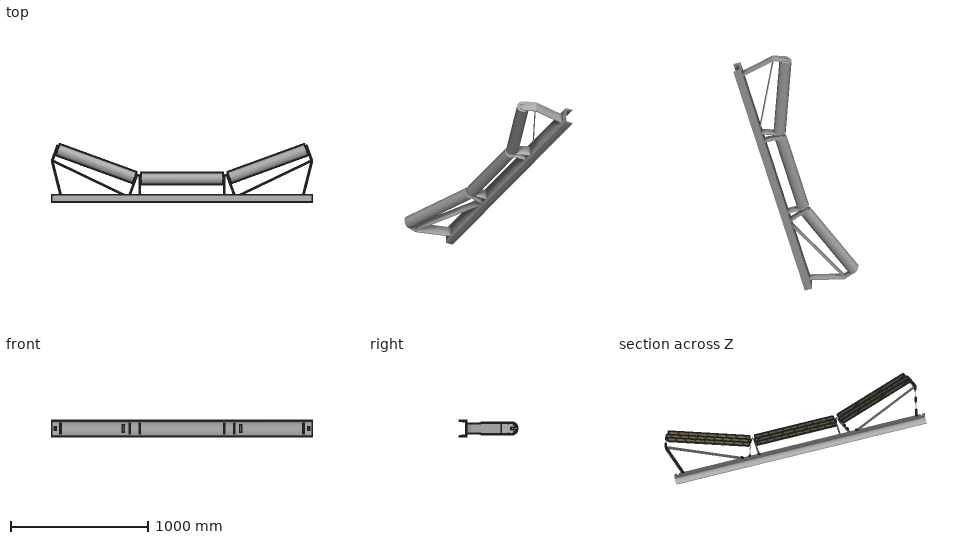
import cadquery as cq
import math

channel_length = 1900.0
channel_height = 120.0
flange_width = 55.0
web_thickness = 7.0
flange_root_thickness = 11.0
flange_tip_thickness = 6.7
flange_root_radius = 8.0
flange_tip_radius = 5.0
mount_slot_x = 925.0
mount_slot_width = 17.0
mount_slot_height = 29.0

roller_diameter = 90.0
roller_length = 599.0
trough_angle = 20
centre_roller_y = 118.0
wing_roller_x = 625.0
wing_roller_y = 226.0

shaft_diameter = 23.0
shaft_flat_width = 17.0

overall_length = 1901
inner_plate_thickness = 6.7
outer_plate_thickness = 8.5
bridge_thickness = 5.0
plate_width = 75.0
plate_gap = 4.8
centre_plate_rise = 25.0
wing_plate_rise = 27.0
plate_chamfer = 20.0
bridge_width = plate_width - 2 * plate_chamfer
leg_angle = 14.1
knee_outer_radius = 15.0

brace_thickness = 5.0
brace_width = 57.0
brace_foot_x = 428.0
brace_rise_above_knee = 4.0

plate_inner_face = roller_length / 2 + plate_gap
inner_plate_outer_face = plate_inner_face + inner_plate_thickness
outer_plate_outer_face = plate_inner_face + outer_plate_thickness
shaft_length = 2 * inner_plate_outer_face
tilt_cos = math.cos(math.radians(trough_angle))
tilt_sin = math.sin(math.radians(trough_angle))


def wing_point(along, up):
    """Point on the right wing: distance outward along the roller axis, then up square to it."""
    x = wing_roller_x + along * tilt_cos - up * tilt_sin
    y = wing_roller_y + along * tilt_sin + up * tilt_cos
    return x, y


def wing_height_to_y(along, y):
    """Signed height above the roller axis, square to it, at which the wing point reaches height y."""
    return (y - wing_point(along, 0)[1]) / tilt_cos


def wing_height_to_x(along, x):
    """Signed height above the roller axis, square to it, at which the wing point reaches x."""
    return (wing_point(along, 0)[0] - x) / tilt_sin


def place_level(body):
    """Move a body drawn around its roller's middle to the centre roller."""
    return body.translate((0, centre_roller_y, 0))


def place_wing(body):
    """Move a body drawn around its roller's middle to the right wing roller."""
    return body.rotate((0, 0, 0), (0, 0, 1), trough_angle).translate((wing_roller_x, wing_roller_y, 0))


def mirrored(body):
    """The same body on the -X side."""
    return body.mirror("YZ")


def extrude_in_z(points, width):
    """Prism of a plan outline, centred on Z = 0."""
    return cq.Workplane("XY").polyline(points).close().extrude(width / 2, both=True)


def make_shaft():
    """Round shaft along X whose two ends carry flats facing +Z and -Z."""
    shaft = cq.Workplane("YZ").circle(shaft_diameter / 2).extrude(shaft_length / 2, both=True)
    end_length = (shaft_length - roller_length) / 2
    flat_depth = (shaft_diameter - shaft_flat_width) / 2
    for end in (-1, 1):
        for face in (-1, 1):
            flat = cq.Workplane("XY").box(end_length, shaft_diameter, flat_depth).translate((
                end * (shaft_length - end_length) / 2,
                0,
                face * (shaft_flat_width + flat_depth) / 2,
            ))
            shaft = shaft.cut(flat)
    return shaft


def make_roller():
    """Cylinder along X, bored for its shaft."""
    end_plane = cq.Plane(origin=(0, 0, 0), xDir=(0, 0, 1), normal=(1, 0, 0))
    profile = cq.Workplane(end_plane).circle(roller_diameter / 2).circle(shaft_diameter / 2)
    return profile.extrude(roller_length).translate((-roller_length / 2, 0, 0))


def make_channel():
    """Channel with tapered flanges, and a mounting slot near each end of the web."""
    half_height = channel_height / 2
    outline = [
        (0, -half_height),
        (-flange_width, -half_height),
        (-flange_width, -half_height + flange_tip_thickness),
        (-web_thickness, -half_height + flange_root_thickness),
        (-web_thickness, half_height - flange_root_thickness),
        (-flange_width, half_height - flange_tip_thickness),
        (-flange_width, half_height),
        (0, half_height),
    ]
    channel = cq.Workplane("YZ").polyline(outline).close().extrude(channel_length / 2, both=True)
    flange_inner_z = half_height - flange_root_thickness
    flange_edge_z = half_height - flange_tip_thickness
    for z_side in (-1, 1):
        root = (0, -web_thickness, z_side * flange_inner_z)
        tip = (0, -flange_width, z_side * flange_edge_z)
        channel = channel.edges(cq.NearestToPointSelector(root)).fillet(flange_root_radius)
        channel = channel.edges(cq.NearestToPointSelector(tip)).fillet(flange_tip_radius)
    slots = (
        cq.Workplane("XZ")
        .pushPoints([(-mount_slot_x, 0), (mount_slot_x, 0)])
        .slot2D(mount_slot_height, mount_slot_width, 90)
        .extrude(web_thickness)
    )
    return channel.cut(slots)


def chamfer_top(plate, plate_top):
    """Chamfer the two short edges that run through the plate at its top corners."""
    for z_side in (-1, 1):
        corner = (*plate_top, z_side * plate_width / 2)
        plate = plate.edges(cq.NearestToPointSelector(corner)).chamfer(plate_chamfer)
    return plate


def make_centre_plate():
    """Upright plate at the right end of the centre roller."""
    top_y = centre_roller_y + centre_plate_rise
    outline = [
        (plate_inner_face, 0),
        (inner_plate_outer_face, 0),
        (inner_plate_outer_face, top_y),
        (plate_inner_face, top_y),
    ]
    plate_middle = (plate_inner_face + inner_plate_outer_face) / 2
    return chamfer_top(extrude_in_z(outline, plate_width), (plate_middle, top_y))


def make_inner_wing_plate():
    """Leaning plate at the low end of the right wing roller."""
    outline = [
        wing_point(-inner_plate_outer_face, wing_plate_rise),
        wing_point(-inner_plate_outer_face, wing_height_to_y(-inner_plate_outer_face, 0)),
        wing_point(-plate_inner_face, wing_height_to_y(-plate_inner_face, 0)),
        wing_point(-plate_inner_face, wing_plate_rise),
    ]
    plate_middle = (plate_inner_face + inner_plate_outer_face) / 2
    return chamfer_top(extrude_in_z(outline, plate_width), wing_point(-plate_middle, wing_plate_rise))


def make_bridge():
    """Strip joining the tops of the centre plate and the inner wing plate."""
    top_y = centre_roller_y + centre_plate_rise
    wing_top = wing_point(-inner_plate_outer_face, wing_plate_rise)
    wing_bottom = wing_point(-inner_plate_outer_face, wing_plate_rise - bridge_thickness)
    outline = [
        (inner_plate_outer_face, top_y - bridge_thickness),
        wing_bottom,
        wing_top,
        (inner_plate_outer_face, top_y),
    ]
    return extrude_in_z(outline, bridge_width)


knee_along = outer_plate_outer_face - knee_outer_radius
knee_x = overall_length / 2 - knee_outer_radius
knee_y = wing_point(knee_along, wing_height_to_x(knee_along, knee_x))[1]
knee_inner_radius = knee_outer_radius - outer_plate_thickness


def knee_point(radius, angle):
    """Point on the bend, at an angle in degrees above the +X direction."""
    radians = math.radians(angle)
    return knee_x + radius * math.cos(radians), knee_y + radius * math.sin(radians)


def leg_foot(radius):
    """Point on the channel's back face where the leg's surface of that bend radius lands."""
    x, y = knee_point(radius, -leg_angle)
    return x - y * math.tan(math.radians(leg_angle)), 0


def make_outer_bracket():
    """Bent plate: a leg leaning out from the channel, then a plate square to the wing roller."""
    bracket = (
        cq.Workplane("XY")
        .moveTo(*leg_foot(knee_outer_radius))
        .lineTo(*knee_point(knee_outer_radius, -leg_angle))
        .threePointArc(knee_point(knee_outer_radius, 0), knee_point(knee_outer_radius, trough_angle))
        .lineTo(*wing_point(outer_plate_outer_face, wing_plate_rise))
        .lineTo(*wing_point(plate_inner_face, wing_plate_rise))
        .lineTo(*knee_point(knee_inner_radius, trough_angle))
        .threePointArc(knee_point(knee_inner_radius, 0), knee_point(knee_inner_radius, -leg_angle))
        .lineTo(*leg_foot(knee_inner_radius))
        .close()
        .extrude(plate_width / 2, both=True)
    )
    plate_middle = (plate_inner_face + outer_plate_outer_face) / 2
    return chamfer_top(bracket, wing_point(plate_middle, wing_plate_rise))


def make_brace():
    """Diagonal strip from the channel up to the middle of the bent plate, just above the knee."""
    end_x = overall_length / 2 - outer_plate_thickness / 2
    end_y = knee_y + brace_rise_above_knee
    slope = math.atan2(end_y, end_x - brace_foot_x)
    half_foot = brace_thickness / 2 / math.sin(slope)
    half_end = brace_thickness / 2 / math.cos(slope)
    outline = [
        (brace_foot_x - half_foot, 0),
        (brace_foot_x + half_foot, 0),
        (end_x, end_y - half_end),
        (end_x, end_y + half_end),
    ]
    return extrude_in_z(outline, brace_width)


def make_shaft_slots():
    """Cutter along X: the shaft's own shape, opened upward so that the shaft drops into the plates."""
    slot_length = 2 * outer_plate_outer_face
    lift = 2 * wing_plate_rise
    opening = cq.Workplane("XY").box(slot_length, lift, shaft_flat_width).translate((0, lift / 2, 0))
    flat_shaft = (
        cq.Workplane("YZ")
        .circle(shaft_diameter / 2)
        .extrude(slot_length / 2, both=True)
        .intersect(cq.Workplane("XY").box(slot_length, shaft_diameter, shaft_flat_width))
    )
    return opening.union(flat_shaft)


def make_frame():
    """Channel with every plate and brace welded on, slotted for the three shafts."""
    frame = make_channel()
    member_makers = (make_centre_plate, make_inner_wing_plate, make_bridge, make_outer_bracket, make_brace)
    for make_member in member_makers:
        member = make_member()
        frame = frame.union(member).union(mirrored(member))
    slots = make_shaft_slots()
    wing_slots = place_wing(slots)
    return frame.cut(place_level(slots)).cut(wing_slots).cut(mirrored(wing_slots))


frame = make_frame()
bodies = [frame.val()]
for make_body in (make_roller, make_shaft):
    level_body = place_level(make_body())
    wing_body = place_wing(make_body())
    bodies += [level_body.val(), wing_body.val(), mirrored(wing_body).val()]

result = cq.Compound.makeCompound(bodies)